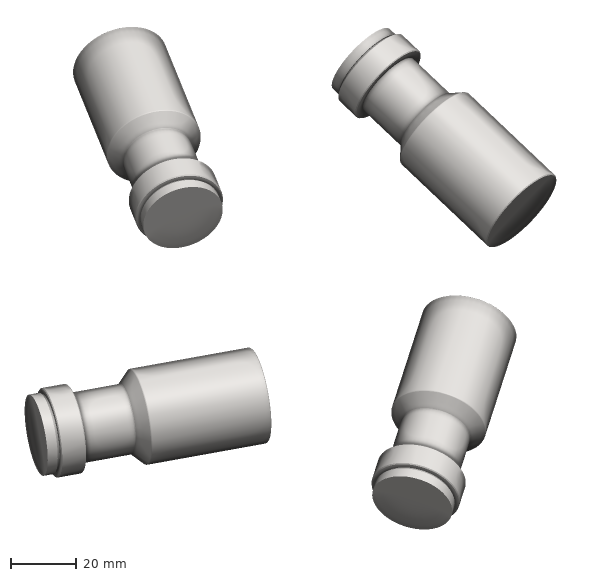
import cadquery as cq

total_length = 71.0

body_radius = 15.0
neck_radius = 11.0
collar_radius = 14.0
groove_radius = 12.2
end_radius = 12.7

body_length = 38.4
cone_length = body_radius - neck_radius
collar_length = 8.0
groove_length = 0.8
end_length = 3.2

rim_chamfer = 0.3
cone_edge_radius = 0.5

body_start = -total_length / 2
cone_start = body_start + body_length
neck_start = cone_start + cone_length
end_stop = body_start + total_length
end_start = end_stop - end_length
groove_start = end_start - groove_length
collar_start = groove_start - collar_length


def turned_blank():
    """Solid of revolution about X with sharp edges."""
    outline = [
        (body_start, 0),
        (body_start, body_radius),
        (cone_start, body_radius),
        (neck_start, neck_radius),
        (collar_start, neck_radius),
        (collar_start, collar_radius),
        (groove_start, collar_radius),
        (groove_start, groove_radius),
        (end_start, groove_radius),
        (end_start, end_radius),
        (end_stop, end_radius),
        (end_stop, 0),
    ]
    profile = cq.Workplane("XZ").polyline(outline).close()
    return profile.revolve(360, (0, 0, 0), (1, 0, 0))


def rim(part, station, radius):
    """Select the circular edge of the given radius at a station along X."""
    margin = 0.05
    selector = cq.selectors.BoxSelector(
        (station - margin, -radius - margin, -radius - margin),
        (station + margin, radius + margin, radius + margin),
        boundingbox=True,
    )
    circles = part.edges("%CIRCLE").edges(selector)
    return circles.filter(lambda edge: abs(edge.radius() - radius) < margin)


result = turned_blank()

for station, radius in ((cone_start, body_radius), (neck_start, neck_radius)):
    result = rim(result, station, radius).fillet(cone_edge_radius)

chamfered_rims = (
    (body_start, body_radius),
    (collar_start, collar_radius),
    (groove_start, collar_radius),
)
for station, radius in chamfered_rims:
    result = rim(result, station, radius).chamfer(rim_chamfer)